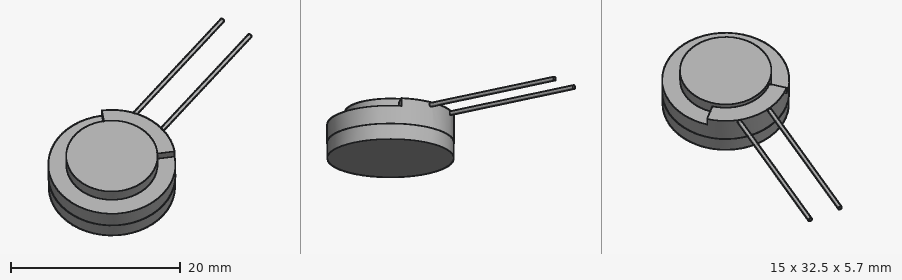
import cadquery as cq
import math

body_diameter = 15.0
body_radius = body_diameter / 2
base_diameter = 14.95
base_height = 1.92
shoulder_height = 4.13

cap_diameter = 10.8
total_height = 5.7

rim_height = 5.1
rim_half_angle = 45

total_length = 32.5
lead_diameter = 0.5
lead_spacing = 4.0
lead_center_height = 4.78
lead_tip_y = total_length - body_radius
lead_root_y = cap_diameter / 2


def disc(diameter, bottom, top):
    """Upright cylinder between two heights."""
    return cq.Workplane("XY").workplane(offset=bottom).circle(diameter / 2).extrude(top - bottom)


def rim_segment():
    """Segment of a full-height disc cut by two radial planes; the cap covers its inner end."""
    wedge_y = body_diameter
    wedge_x = wedge_y * math.tan(math.radians(rim_half_angle))
    wedge = (
        cq.Workplane("XY")
        .workplane(offset=shoulder_height)
        .polyline([(0, 0), (wedge_x, wedge_y), (-wedge_x, wedge_y)])
        .close()
        .extrude(rim_height - shoulder_height)
    )
    return disc(body_diameter, base_height, rim_height).intersect(wedge)


def lead(x):
    """Round wire rooted in the rim segment."""
    wire = cq.Solid.makeCylinder(
        lead_diameter / 2,
        lead_tip_y - lead_root_y,
        cq.Vector(x, lead_root_y, lead_center_height),
        cq.Vector(0, 1, 0),
    )
    return cq.Workplane(wire)


housing = disc(body_diameter, base_height, shoulder_height).union(rim_segment())
result = disc(base_diameter, 0, base_height).union(housing)
result = result.union(disc(cap_diameter, shoulder_height, total_height))
for side in (-1, 1):
    result = result.union(lead(side * lead_spacing / 2))